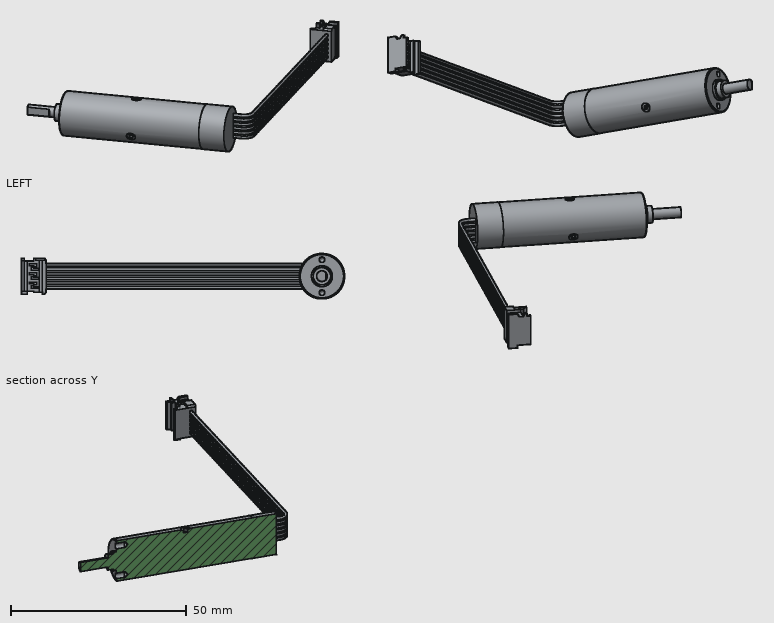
import cadquery as cq
import math


body_start = 10.9
cap_start = 52.7
body_end = 60.15
body_diameter = 12.9
cap_diameter = 13.0
body_chamfer = 0.3

shaft_diameter = 3.0
flat_depth = 0.5
flat_length = 6.4
front_boss_start = 8.4
front_boss_diameter = 5.0
rear_boss_start = 10.1
rear_boss_diameter = 6.0

mount_hole_diameter = 1.6
mount_hole_offset = 4.7
mount_hole_depth = 2.8
screw_count = 3
screw_x = 32.2
screw_diameter = 2.6
screw_sink = 0.14
screw_face_radius = body_diameter / 2 - screw_sink
socket_diameter = 1.1
socket_depth = 0.9

wire_count = 6
wire_pitch = 1.3
wire_diameter = 0.9
web_thickness = 0.5
cable_exit_y = 3.2
cable_x = 65.1
bend_radius = 2.7
cable_embed = 0.9

overall_length = 92.3
connector_right = 66.6
connector_back = overall_length - cap_diameter / 2
connector_depth = 6.4
connector_length = 7.1
connector_front = connector_back - connector_length
connector_left = connector_right - connector_depth
step_height = 0.88
lip_depth = 1.1
mouth_depth = 2.2
rear_half_height = 4.3
front_half_height = 4.6
rib_half_height = 5.2
block_length = 3.6
block_width = 2.5
wall_thickness = 0.55
edge_chamfer = 0.55
notch_start = 1.9
notch_width = 1.3
notch_depth = 0.6
contact_width = 0.55
contact_length = 2.2
barb_length = 0.8
barb_width = 0.3
contact_depth = 0.55
contact_margin = 0.5
contact_stagger = 0.55


def rod(start, end, diameter):
    """Cylinder on the motor axis."""
    return cq.Workplane("YZ").workplane(offset=start).circle(diameter / 2).extrude(end - start)


def box(x_range, y_range, z_range):
    """Axis-aligned box between pairs of coordinates."""
    sizes = [high - low for low, high in (x_range, y_range, z_range)]
    corner = (x_range[0], y_range[0], z_range[0])
    return cq.Workplane("XY").box(*sizes, centered=False).translate(corner)


def shaft():
    radius = shaft_diameter / 2
    flat_y = flat_depth - radius
    cutter = (
        cq.Workplane("XY").workplane(offset=-radius)
        .moveTo(0, flat_y)
        .lineTo(flat_length, flat_y)
        .lineTo(flat_length + flat_depth, -radius)
        .lineTo(0, -radius)
        .close()
        .extrude(shaft_diameter)
    )
    return rod(0, body_start, shaft_diameter).cut(cutter)


def mount_hole(z):
    """Blind hole in the front face, ending in a 90 degree cone."""
    radius = mount_hole_diameter / 2
    return (
        cq.Workplane("XY")
        .moveTo(body_start, 0)
        .lineTo(body_start, radius)
        .lineTo(body_start + mount_hole_depth, radius)
        .lineTo(body_start + mount_hole_depth + radius, 0)
        .close()
        .revolve(360, (0, 0, 0), (1, 0, 0))
        .translate((0, 0, z))
    )


def screw_recess(angle):
    """Flat screw face with a socket, turned about the motor axis from +Z."""
    face = cq.Workplane("XY").workplane(offset=screw_face_radius).center(screw_x, 0)
    seat = face.circle(screw_diameter / 2).extrude(screw_sink)
    socket = face.circle(socket_diameter / 2).extrude(-socket_depth)
    return seat.union(socket).rotate((0, 0, 0), (1, 0, 0), angle)


def motor():
    body = rod(body_start, cap_start, body_diameter).faces("<X").chamfer(body_chamfer)
    body = body.union(rod(cap_start, body_end, cap_diameter))
    for side in (-1, 1):
        body = body.cut(mount_hole(side * mount_hole_offset))
    for index in range(screw_count):
        body = body.cut(screw_recess(index * 360 / screw_count))
    body = body.union(rod(front_boss_start, body_start, front_boss_diameter))
    body = body.union(rod(rear_boss_start, body_start, rear_boss_diameter))
    return body.union(shaft())


def wire_heights():
    middle = (wire_count - 1) / 2
    return [(middle - index) * wire_pitch for index in range(wire_count)]


def swept_strand(profile):
    """Carry a profile on the YZ plane out of the motor, round the bend and to the connector."""
    start = (body_end - cable_embed, cable_exit_y)
    bend_start = (cable_x - bend_radius, cable_exit_y)
    bend_end = (cable_x, cable_exit_y + bend_radius)
    half_chord = bend_radius * math.sin(math.pi / 4)
    bend_middle = (bend_start[0] + half_chord, bend_end[1] - half_chord)
    path = (
        cq.Workplane("XY")
        .moveTo(*start)
        .lineTo(*bend_start)
        .threePointArc(bend_middle, bend_end)
        .lineTo(cable_x, connector_front + cable_embed)
    )
    return profile.sweep(path)


def cable():
    exit_plane = cq.Workplane("YZ", origin=(body_end - cable_embed, cable_exit_y, 0))
    ribbon = swept_strand(exit_plane.rect(web_thickness, (wire_count - 1) * wire_pitch))
    for z in wire_heights():
        ribbon = ribbon.union(swept_strand(exit_plane.center(0, z).circle(wire_diameter / 2)))
    return ribbon


def connector_outline():
    """C-shaped body with two lips facing -X and a notch in its +X side."""
    lip_x = connector_left + lip_depth
    mouth_x = connector_left + mouth_depth
    notch_back = connector_back - notch_start
    notch_front = notch_back - notch_width
    front_lip = connector_front + lip_depth
    return (
        cq.Workplane("XY")
        .moveTo(connector_left, connector_back)
        .lineTo(connector_left, connector_back - step_height)
        .lineTo(lip_x, connector_back - step_height)
        .lineTo(lip_x, connector_back - 2 * step_height)
        .lineTo(mouth_x, connector_back - 2 * step_height)
        .lineTo(mouth_x, front_lip + step_height)
        .lineTo(lip_x, front_lip + step_height)
        .lineTo(lip_x, front_lip)
        .lineTo(connector_left, front_lip)
        .lineTo(connector_left, connector_front)
        .lineTo(connector_right, connector_front)
        .lineTo(connector_right, notch_front)
        .threePointArc(
            (connector_right - notch_depth, (notch_front + notch_back) / 2),
            (connector_right, notch_back),
        )
        .lineTo(connector_right, connector_back)
        .close()
    )


def prism(half_height):
    return connector_outline().extrude(half_height, both=True)


def raised_block():
    """L-shaped pad on top of the cable end, chamfered above the cable."""
    back = connector_front + block_length
    heights = (0, rib_half_height)
    block_x = (connector_right - block_width, connector_right)
    wall_x = (connector_left + mouth_depth, connector_right)
    block = box(block_x, (connector_front, back), heights)
    block = block.faces(">Z").edges("<Y").chamfer(edge_chamfer)
    return block.union(box(wall_x, (back - wall_thickness, back), heights))


def latch_ribs():
    """Two ramped ribs along the top rear edge."""
    rise = rib_half_height - rear_half_height
    long_rib_x = connector_right - block_width
    short_rib_x = connector_left + lip_depth
    face = cq.Workplane("XZ", origin=(0, connector_back, rear_half_height))
    long_rib = (
        face.moveTo(long_rib_x - wall_thickness, 0)
        .lineTo(long_rib_x, rise)
        .lineTo(connector_right, rise)
        .lineTo(connector_right, 0)
        .close()
        .extrude(step_height)
    )
    short_rib = (
        face.moveTo(short_rib_x, 0)
        .lineTo(short_rib_x, rise)
        .lineTo(short_rib_x + wall_thickness, rise)
        .lineTo(short_rib_x + 2 * wall_thickness, 0)
        .close()
        .extrude(step_height)
    )
    return long_rib.union(short_rib)


def bottom_tabs():
    """Front lip tab under the -X corner and a rear tab under the +X corner."""
    heights = (-rib_half_height, 0)
    lip_x = (connector_left, connector_left + 2 * step_height)
    lip = box(lip_x, (connector_front, connector_front + lip_depth), heights)
    lip = lip.faces("<Z").edges("<Y").chamfer(edge_chamfer)
    rear_x = (connector_right - block_width, connector_right)
    return lip.union(box(rear_x, (connector_back - 2 * step_height, connector_back), heights))


def contact_slot(z, side):
    """Slot with a barb in the mouth floor; side +1 sits to the rear, -1 to the front."""
    floor = connector_left + mouth_depth
    back = connector_back - 2 * step_height - contact_margin
    if side < 0:
        back -= contact_stagger
    front = back - contact_length
    half = contact_width / 2
    depths = (floor, floor + contact_depth)
    slot = box(depths, (front, back), (z - half, z + half))
    if side > 0:
        barb = box(depths, (front, front + barb_length), (z - half - barb_width, z))
    else:
        barb = box(depths, (back - barb_length, back), (z, z + half + barb_width))
    return slot.union(barb)


def connector():
    front_part = box(
        (connector_left, connector_right),
        (connector_front, connector_front + block_length),
        (-front_half_height, front_half_height),
    )
    shell = prism(rear_half_height).union(prism(front_half_height).intersect(front_part))
    shell = shell.union(raised_block()).union(latch_ribs()).union(bottom_tabs())
    for index, z in enumerate(wire_heights()):
        side = 1 if index % 2 == 0 else -1
        shell = shell.cut(contact_slot(z, side))
    return shell


result = motor().union(cable()).union(connector())